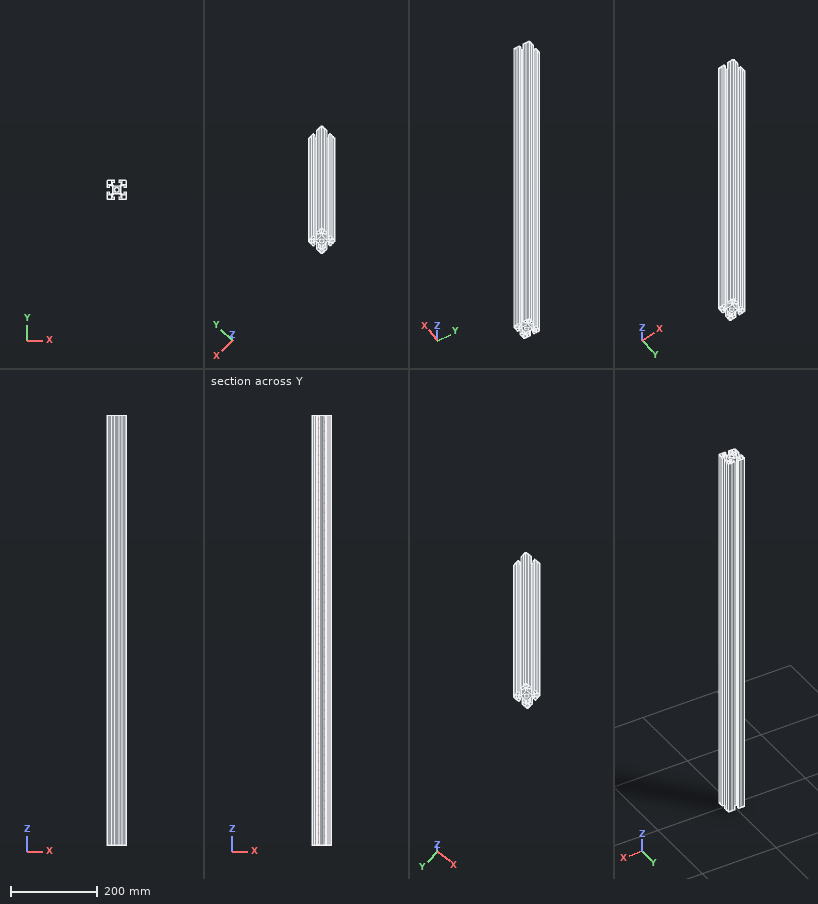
import cadquery as cq

SIDE = 45.0
LENGTH = 1000.0
CORNER_RADIUS = 3.0

SLOT_OPENING = 10.0
LIP_THICKNESS = 6.0
CAVITY_WIDTH = 20.0
SLOT_DEPTH = 13.0
FLOOR_CHAMFER = 3.0

BORE_DIAMETER = 10.0

CHAMBER_WALL = 1.2
CHAMBER_SIDE = 8.8

HALF = SIDE / 2
SIDE_ANGLES = (0, 90, 180, 270)


def bar_blank():
    """Square bar with rounded long edges, centred on the origin."""
    return cq.Workplane("XY").box(SIDE, SIDE, LENGTH).edges("|Z").fillet(CORNER_RADIUS)


def bore_cutter():
    """Full-length cylinder along the bar axis."""
    return cq.Workplane("XY").circle(BORE_DIAMETER / 2).extrude(LENGTH / 2, both=True)


def slot_cutter():
    """T-slot of the +X side: narrow mouth, wide cavity, chamfered floor corners."""
    lip_x = HALF - LIP_THICKNESS
    floor_x = HALF - SLOT_DEPTH
    mouth_y = SLOT_OPENING / 2
    cavity_y = CAVITY_WIDTH / 2
    upper_half = [
        (HALF, mouth_y),
        (lip_x, mouth_y),
        (lip_x, cavity_y),
        (floor_x + FLOOR_CHAMFER, cavity_y),
        (floor_x, cavity_y - FLOOR_CHAMFER),
    ]
    lower_half = [(x, -y) for x, y in reversed(upper_half)]
    outline = cq.Workplane("XY").polyline(upper_half + lower_half).close()
    return outline.extrude(LENGTH / 2, both=True)


def chamber_cutter():
    """Full-length square chamber of the (+X, +Y) corner."""
    centre = HALF - CHAMBER_WALL - CHAMBER_SIDE / 2
    return cq.Workplane("XY").center(centre, centre).rect(CHAMBER_SIDE, CHAMBER_SIDE).extrude(
        LENGTH / 2, both=True
    )


result = bar_blank().cut(bore_cutter())
for angle in SIDE_ANGLES:
    for cutter in (slot_cutter(), chamber_cutter()):
        result = result.cut(cutter.rotate((0, 0, 0), (0, 0, 1), angle))